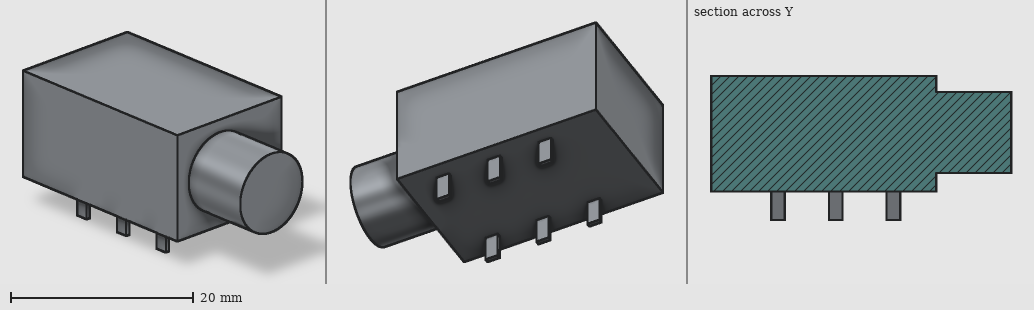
import cadquery as cq

total_length = 33.0
housing_length = 24.75
housing_width = 15.75
housing_height = 12.7

barrel_diameter = 9.4
barrel_length = total_length - housing_length
barrel_y = -1.45
barrel_z = 6.5

pin_length = 3.15
pin_width = 1.52
pin_thickness = 0.5
pins_per_row = 3
first_pin_x = 7.35
pin_pitch = 6.35
row_spacing = 11.42
row_centre_y = 0.05


def make_housing():
    return cq.Workplane("XY").box(
        housing_length, housing_width, housing_height, centered=(False, True, False)
    )


def make_barrel():
    return (
        cq.Workplane("YZ", origin=(housing_length, barrel_y, barrel_z))
        .circle(barrel_diameter / 2)
        .extrude(barrel_length)
    )


def make_pins():
    rows_y = [row_centre_y - row_spacing / 2, row_centre_y + row_spacing / 2]
    positions = [
        (first_pin_x + index * pin_pitch, row_y)
        for row_y in rows_y
        for index in range(pins_per_row)
    ]
    return (
        cq.Workplane("XY")
        .pushPoints(positions)
        .rect(pin_width, pin_thickness)
        .extrude(-pin_length)
    )


result = make_housing().union(make_barrel()).union(make_pins())